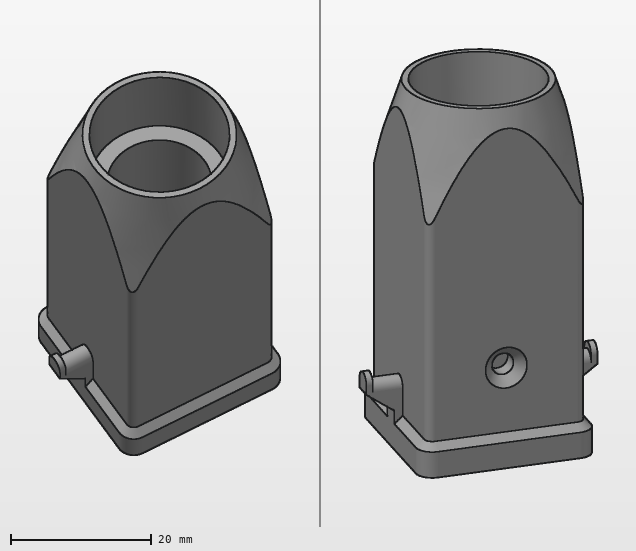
import cadquery as cq

height = 55.0
peg_span = 35.0

flange_width = 26.5
flange_height = 5.1
flange_corner_radius = 2.5
flange_wall_height = 4.0

body_width = 24.0
flange_step = (flange_width - body_width) / 2
body_corner_radius = flange_corner_radius - flange_step

neck_top_radius = 11.0
neck_slope = 1 / 3
neck_length = 19.8

bore_diameter = 15.0
entry_diameter = 20.0
entry_depth = 12.0

screw_height = 15.0
screw_diameter = 3.25
countersink_diameter = 6.25
countersink_depth = (countersink_diameter - screw_diameter) / 2
screw_hole_depth = 4.0

peg_width = 3.0
peg_radius = peg_width / 2
lip_thickness = 1.0
lip_top = 12.05
peg_top = 10.95
peg_outer_foot = 9.1
peg_inner_foot = 6.05


def make_flange():
    wall = (
        cq.Workplane("XY")
        .rect(flange_width, flange_width)
        .extrude(flange_height)
        .edges("|Z")
        .fillet(flange_corner_radius)
    )
    return wall.faces(">Z").chamfer(flange_height - flange_wall_height, flange_step)


def make_body():
    column = (
        cq.Workplane("XY")
        .rect(body_width, body_width)
        .extrude(height)
        .edges("|Z")
        .fillet(body_corner_radius)
    )
    neck_foot = height - neck_length
    neck_foot_radius = neck_top_radius + neck_slope * neck_length
    envelope = (
        cq.Workplane("XZ")
        .moveTo(0, 0)
        .lineTo(neck_foot_radius, 0)
        .lineTo(neck_foot_radius, neck_foot)
        .lineTo(neck_top_radius, height)
        .lineTo(0, height)
        .close()
        .revolve(360, (0, 0, 0), (0, 1, 0))
    )
    return column.intersect(envelope)


def round_topped_bar(top, length):
    """Bar along -Y from the body wall, with a half-round top, standing on the base plane."""
    axis_height = top - peg_radius
    return (
        cq.Workplane("XZ", origin=(0, -body_width / 2, 0))
        .moveTo(-peg_radius, 0)
        .lineTo(peg_radius, 0)
        .lineTo(peg_radius, axis_height)
        .threePointArc((0, top), (-peg_radius, axis_height))
        .close()
        .extrude(length)
    )


def make_peg():
    """Peg on the -Y wall: a round-topped bar with a raised end lip and a sloping gusset."""
    reach = peg_span / 2 - body_width / 2
    bar = round_topped_bar(peg_top, reach)
    lip_zone = (
        cq.Workplane("XY", origin=(0, -peg_span / 2, 0))
        .box(peg_width, lip_thickness, height, centered=(True, False, False))
    )
    lip = round_topped_bar(lip_top, reach).intersect(lip_zone)
    side_outline = (
        cq.Workplane("YZ")
        .moveTo(-body_width / 2, 0)
        .lineTo(-flange_width / 2, 0)
        .lineTo(-flange_width / 2, peg_inner_foot)
        .lineTo(-peg_span / 2, peg_outer_foot)
        .lineTo(-peg_span / 2, lip_top)
        .lineTo(-body_width / 2, lip_top)
        .close()
        .extrude(peg_radius, both=True)
    )
    return bar.union(lip).intersect(side_outline)


def make_bore():
    bore = cq.Workplane("XY").circle(bore_diameter / 2).extrude(height)
    entry = (
        cq.Workplane("XY", origin=(0, 0, height - entry_depth))
        .circle(entry_diameter / 2)
        .extrude(entry_depth)
    )
    return bore.union(entry)


def make_screw_hole():
    """Countersunk blind hole along +X, revolved about its own axis."""
    return (
        cq.Workplane("XY", origin=(-body_width / 2, 0, screw_height))
        .moveTo(0, 0)
        .lineTo(0, countersink_diameter / 2)
        .lineTo(countersink_depth, screw_diameter / 2)
        .lineTo(screw_hole_depth, screw_diameter / 2)
        .lineTo(screw_hole_depth, 0)
        .close()
        .revolve(360, (0, 0, 0), (1, 0, 0))
    )


peg = make_peg()
opposite_peg = peg.mirror("XZ")

result = (
    make_flange()
    .union(make_body())
    .union(peg)
    .union(opposite_peg)
    .cut(make_bore())
    .cut(make_screw_hole())
)